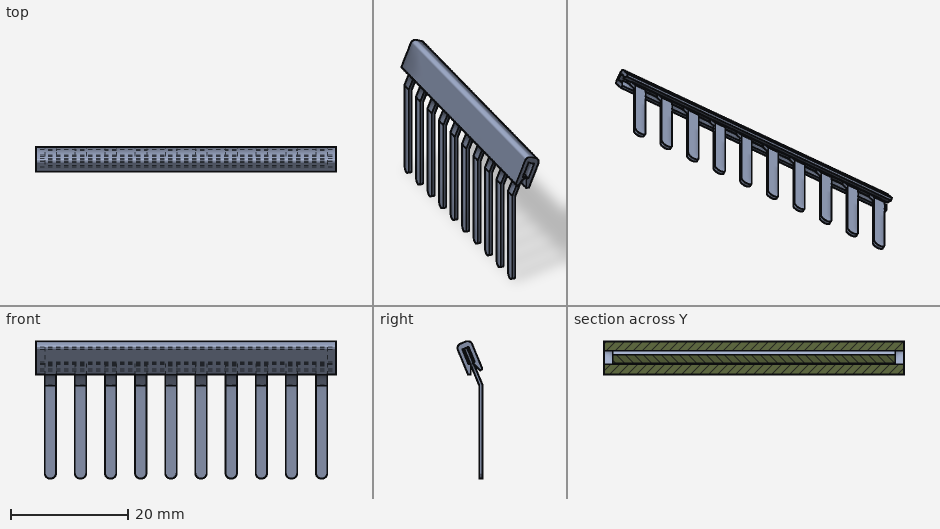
import cadquery as cq
import math

length = 51.26
depth = 4.3
height = 23.53

lean = math.radians(22.5)
lean_sin = math.sin(lean)
lean_cos = math.cos(lean)
lean_tan = math.tan(lean)

cover_width = 2.67
roof_edge_radius = 0.85
roof_thickness = 1.05
slot_width = 1.1
leg_depth = 5.4
leg_end_length = 0.5
barb_gap = 0.38

sheet = 0.58
prong_count = 10
prong_pitch = 5.15
prong_width = 2.0
bend_height = 15.92
spine_length = (prong_count - 1) * prong_pitch + prong_width

edge_centre = cover_width / 2 - roof_edge_radius
roof_y = -depth + edge_centre * lean_cos + roof_edge_radius * (1 - lean_sin)
roof_z = height - edge_centre * lean_sin - roof_edge_radius * (1 - lean_cos)

leg_tip = cover_width / 2 - leg_end_length * lean_cos
leg_tip_depth = leg_depth + leg_end_length * lean_sin
barb_tip = barb_gap / 2
barb_tip_depth = leg_tip_depth - (leg_tip - barb_tip) / lean_tan
shoulder_depth = barb_tip_depth - (slot_width / 2 - barb_tip) * lean_tan


def make_cover():
    """Channel section; local x runs across to the back, local y up along the lean from the roof."""
    section = cq.Plane(
        origin=(-length / 2, roof_y, roof_z),
        xDir=(0, lean_cos, lean_sin),
        normal=(1, 0, 0),
    )
    outer = cover_width / 2
    slot = slot_width / 2
    arc_offset = roof_edge_radius * math.sqrt(0.5)
    arc_across = edge_centre + arc_offset
    arc_along = arc_offset - roof_edge_radius
    return (
        cq.Workplane(section)
        .moveTo(-edge_centre, 0)
        .lineTo(edge_centre, 0)
        .threePointArc((arc_across, arc_along), (outer, -roof_edge_radius))
        .lineTo(outer, -leg_depth)
        .lineTo(leg_tip, -leg_tip_depth)
        .lineTo(barb_tip, -barb_tip_depth)
        .lineTo(slot, -shoulder_depth)
        .lineTo(slot, -roof_thickness)
        .lineTo(-slot, -roof_thickness)
        .lineTo(-slot, -shoulder_depth)
        .lineTo(-barb_tip, -barb_tip_depth)
        .lineTo(-leg_tip, -leg_tip_depth)
        .lineTo(-outer, -leg_depth)
        .lineTo(-outer, -roof_edge_radius)
        .threePointArc((-arc_across, arc_along), (-edge_centre, 0))
        .close()
        .extrude(length)
    )


def leaning_line(y, bend_z):
    """Bend point of one sheet face, and the point where that face meets the slot floor."""
    floor_y = roof_y + roof_thickness * lean_sin
    floor_z = roof_z - roof_thickness * lean_cos
    run = (y - floor_y) * lean_sin + (floor_z - bend_z) * lean_cos
    return (y, bend_z), (y - run * lean_sin, bend_z + run * lean_cos)


def make_bent_sheet():
    """Sheet as long as the spine: upright up to the bend, then leaning up to the slot floor."""
    back_bend_height = bend_height + sheet * math.tan(lean / 2)
    front_bend, front_top = leaning_line(-sheet, bend_height)
    back_bend, back_top = leaning_line(0, back_bend_height)
    return (
        cq.Workplane("YZ", origin=(-spine_length / 2, 0, 0))
        .polyline([(0, 0), (-sheet, 0), front_bend, front_top, back_top, back_bend])
        .close()
        .extrude(spine_length)
    )


def make_prong_blank(x):
    """Full-depth blank of one prong with a round lower end."""
    half = prong_width / 2
    return (
        cq.Workplane("XZ", origin=(x, 0, 0))
        .moveTo(half, height)
        .lineTo(half, half)
        .threePointArc((0, 0), (-half, half))
        .lineTo(-half, height)
        .close()
        .extrude(depth)
    )


def make_comb(cover):
    """Bent sheet trimmed to a spine with prongs, notched where the cover's barbs bite into it."""
    spine_bottom = roof_z - barb_tip_depth * lean_cos
    blank = cq.Workplane("XY").box(
        spine_length, depth, height - spine_bottom, centered=(True, False, False)
    )
    blank = blank.translate((0, -depth, spine_bottom))
    first_prong = -(prong_count - 1) * prong_pitch / 2
    for index in range(prong_count):
        blank = blank.union(make_prong_blank(first_prong + index * prong_pitch))
    return make_bent_sheet().intersect(blank).cut(cover)


cover = make_cover()
comb = make_comb(cover)
result = cq.Compound.makeCompound([cover.val(), *comb.vals()])